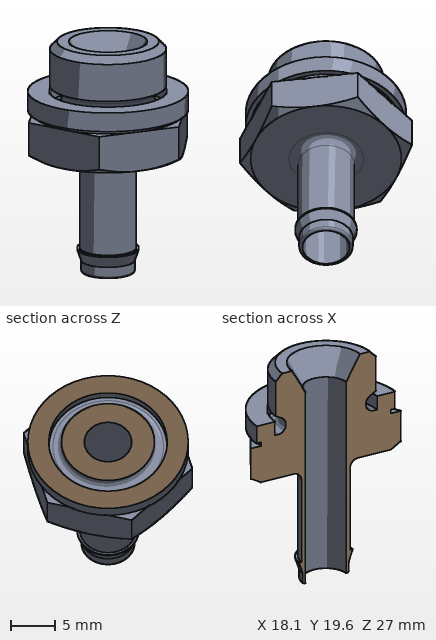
import cadquery as cq
import math

TOTAL_HEIGHT = 27.0
BORE_DIAMETER = 5.3
COUNTERSINK_DIAMETER = 8.85
COUNTERSINK_HALF_ANGLE = 30.0

TIP_RADIUS = 6.1 / 2
TIP_ROUNDING = 0.3
STEM_RADIUS = 6.4 / 2
STEM_FILLET = 1.0
BARB_RADIUS = 7.0 / 2
BARB_TOP_Z = 2.84
BARB_LAND = 0.15
BARB_CONE_BOTTOM_Z = 1.38

HEX_ACROSS_FLATS = 17.0
HEX_BOTTOM_Z = 14.0
HEX_TOP_Z = 18.6
HEX_CHAMFER_ANGLE = 30.0

WASHER_RADIUS = 18.15 / 2
WASHER_BORE_RADIUS = 13.3 / 2
WASHER_BOTTOM_Z = 19.0
WASHER_TOP_Z = 21.2

SPIGOT_RADIUS = 13.15 / 2
SPIGOT_BOTTOM_Z = 21.85
SPIGOT_CHAMFER = 0.85

UNDERCUT_CONE_END_RADIUS = 5.75
UNDERCUT_CONE_ANGLE = 30.0
UNDERCUT_ROUNDING = 1.0


def turned_body():
    """Revolve the complete outer profile, including the undercut below the spigot."""
    collar_radius = HEX_ACROSS_FLATS / 2
    cone_angle = math.radians(UNDERCUT_CONE_ANGLE)
    cone_end_z = SPIGOT_BOTTOM_Z - (SPIGOT_RADIUS - UNDERCUT_CONE_END_RADIUS) * math.tan(cone_angle)
    undercut_center_r = UNDERCUT_CONE_END_RADIUS + UNDERCUT_ROUNDING * math.sin(cone_angle)
    undercut_center_z = cone_end_z - UNDERCUT_ROUNDING * math.cos(cone_angle)
    undercut_floor_z = undercut_center_z - UNDERCUT_ROUNDING
    fillet_drop = STEM_FILLET * math.sqrt(0.5)
    fillet_center_r = STEM_RADIUS + STEM_FILLET
    fillet_center_z = HEX_BOTTOM_Z - STEM_FILLET
    rounding_offset = TIP_ROUNDING * math.sqrt(0.5)

    profile = (
        cq.Workplane("XZ")
        .lineTo(TIP_RADIUS - TIP_ROUNDING, 0)
        .threePointArc(
            (TIP_RADIUS - TIP_ROUNDING + rounding_offset, TIP_ROUNDING - rounding_offset),
            (TIP_RADIUS, TIP_ROUNDING),
        )
        .lineTo(TIP_RADIUS, BARB_CONE_BOTTOM_Z)
        .lineTo(BARB_RADIUS, BARB_TOP_Z - BARB_LAND)
        .lineTo(BARB_RADIUS, BARB_TOP_Z)
        .lineTo(STEM_RADIUS, BARB_TOP_Z)
        .lineTo(STEM_RADIUS, fillet_center_z)
        .threePointArc(
            (fillet_center_r - fillet_drop, fillet_center_z + fillet_drop),
            (fillet_center_r, HEX_BOTTOM_Z),
        )
        .lineTo(collar_radius, HEX_BOTTOM_Z)
        .lineTo(collar_radius, WASHER_BOTTOM_Z)
        .lineTo(WASHER_RADIUS, WASHER_BOTTOM_Z)
        .lineTo(WASHER_RADIUS, WASHER_TOP_Z)
        .lineTo(WASHER_BORE_RADIUS, WASHER_TOP_Z)
        .lineTo(WASHER_BORE_RADIUS, undercut_floor_z)
        .lineTo(undercut_center_r, undercut_floor_z)
        .threePointArc(
            (undercut_center_r - UNDERCUT_ROUNDING, undercut_center_z),
            (UNDERCUT_CONE_END_RADIUS, cone_end_z),
        )
        .lineTo(SPIGOT_RADIUS, SPIGOT_BOTTOM_Z)
        .lineTo(SPIGOT_RADIUS, TOTAL_HEIGHT - SPIGOT_CHAMFER)
        .lineTo(SPIGOT_RADIUS - SPIGOT_CHAMFER, TOTAL_HEIGHT)
        .lineTo(0, TOTAL_HEIGHT)
        .close()
    )
    return profile.revolve(360, (0, 0), (0, 1))


def chamfered_hexagon():
    """Hexagonal prism whose lower corners are trimmed by a cone."""
    across_corners = HEX_ACROSS_FLATS / math.cos(math.radians(30))
    flat_radius = HEX_ACROSS_FLATS / 2
    height = HEX_TOP_Z - HEX_BOTTOM_Z
    prism = (
        cq.Workplane("XY", origin=(0, 0, HEX_BOTTOM_Z))
        .polygon(6, across_corners)
        .extrude(height)
        .rotate((0, 0, 0), (0, 0, 1), 30)
    )
    cone_top_radius = flat_radius + height / math.tan(math.radians(HEX_CHAMFER_ANGLE))
    cone = cq.Workplane(
        cq.Solid.makeCone(flat_radius, cone_top_radius, height, cq.Vector(0, 0, HEX_BOTTOM_Z))
    )
    return prism.intersect(cone)


def countersunk_bore():
    """Through bore with a conical mouth at the top."""
    bore_radius = BORE_DIAMETER / 2
    mouth_radius = COUNTERSINK_DIAMETER / 2
    depth = (mouth_radius - bore_radius) / math.tan(math.radians(COUNTERSINK_HALF_ANGLE))
    bore = cq.Workplane("XY").circle(bore_radius).extrude(TOTAL_HEIGHT)
    mouth = cq.Workplane(
        cq.Solid.makeCone(bore_radius, mouth_radius, depth, cq.Vector(0, 0, TOTAL_HEIGHT - depth))
    )
    return bore.union(mouth)


result = turned_body().union(chamfered_hexagon()).cut(countersunk_bore())